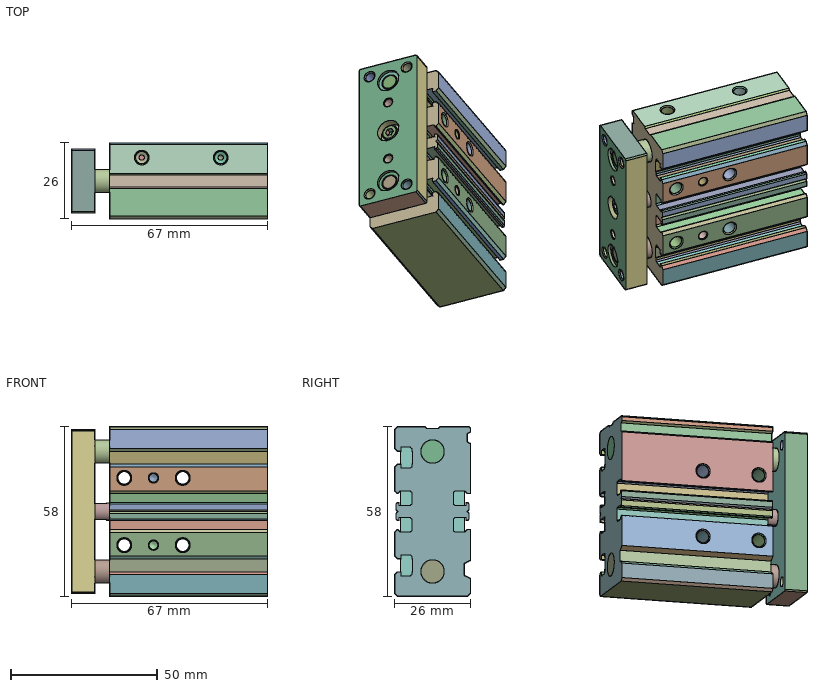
import cadquery as cq
import math

plate_thickness = 8.0
rod_gap = 5.0
housing_length = 54.0
housing_width = 26.0
housing_height = 58.0
housing_front = plate_thickness + rod_gap
housing_back = housing_front + housing_length
side = housing_width / 2
top = housing_height / 2

edge_chamfer = 1.0
small_chamfer = 0.5
rear_sign = 1
front_sign = -1

outer_slot_offset = 18.4
outer_slot_mouth = 4.4
outer_slot_width = 7.2
outer_slot_lip = 10.7
outer_slot_shoulder = 7.1
outer_slot_floor = 6.8

inner_slot_near = 3.0
inner_slot_far = 6.1
inner_slot_near_wall = 2.1
inner_slot_far_wall = 7.0
inner_slot_lip = 11.0
inner_lip_break = 0.9
rib_step = 11.4
inner_slot_floor = 7.1
floor_chamfer = 0.5

rib_face = 12.5
rib_chamfer = 0.4
rib_notch_half = 0.6
rib_notch_depth = 0.6

top_groove_mouth = 5.0
top_groove_floor = 4.0
top_groove_depth = 0.6

rear_groove_center = 25.2
rear_groove_mouth = 4.0
rear_groove_floor = 2.8
rear_groove_depth = 1.1

rear_channel_center = -19.8
rear_channel_mouth = 6.2
rear_channel_floor = 3.8
rear_channel_depth = 2.3

mount_offset = 11.5
mount_x = (housing_front + 5.0, housing_front + 25.0)
mount_dia = 4.3
mount_chamfer = 0.4
pin_x = housing_front + 15.0
pin_hole_dia = 3.0
pin_hole_depth = 6.0
pin_hole_chamfer = 0.25
drill_half_angle = math.radians(59)

port_x = (housing_front + 11.0, housing_front + 38.0)
port_y = 8.0
port_dia = 4.2
port_chamfer = 0.4
port_depth = 5.0
port_passage_dia = 1.8
port_passage_depth = 8.0

plate_width = 22.0
plate_height = 56.0
plate_chamfer = 0.5
screw_y = 7.0
screw_z = 24.0
screw_dia = 3.3
screw_chamfer = 0.4

guide_dia = 8.0
guide_offset = 20.5
piston_dia = 6.0
piston_end = port_x[1]
neck_dia = 5.6
neck_chamfer = 0.3
neck_setback = 1.0
recess_dia = 8.0
guide_recess_depth = 1.0
piston_recess_depth = 3.0
wrench_flats = 5.5
wrench_flats_end = housing_front - 1.0
hex_flats = 2.5
hex_depth = 2.0


def x_cylinder(dia, start, end, z=0.0):
    return cq.Workplane("YZ", origin=(start, 0, z)).circle(dia / 2).extrude(end - start)


def hole_tool(dia, depth, chamfer, point=False):
    """Round cutter along -Z from the origin, flared at the mouth, with an optional drill point."""
    radius = dia / 2
    point_length = radius / math.tan(drill_half_angle) if point else 0.0
    outline = cq.Workplane("XZ").lineTo(radius + chamfer, 0)
    if chamfer:
        outline = outline.lineTo(radius, -chamfer)
    outline = outline.lineTo(radius, -depth).lineTo(0, -depth - point_length)
    return outline.close().revolve(360, (0, 0, 0), (0, 1, 0))


def into_front(tool, x, z):
    """Turn a hole cutter to enter the front (-Y) face."""
    return tool.rotate((0, 0, 0), (1, 0, 0), 90).translate((x, -side, z))


def into_rear(tool, x, z):
    """Turn a hole cutter to enter the rear (+Y) face."""
    return tool.rotate((0, 0, 0), (1, 0, 0), -90).translate((x, side, z))


def into_plate(tool, y, z):
    """Turn a hole cutter to enter the outer (-X) face of the plate."""
    return tool.rotate((0, 0, 0), (0, 1, 0), -90).translate((0, y, z))


def profile_cutter(points):
    """Closed Y-Z outline running the whole length of the housing."""
    return cq.Workplane("YZ", origin=(housing_front, 0, 0)).polyline(points).close().extrude(housing_length)


def outer_slot(center):
    """T-slot in the front face, with a bevelled mouth and a shallow step in its floor."""
    mouth = outer_slot_mouth / 2
    wall = outer_slot_width / 2
    upper = [
        (-side, mouth + edge_chamfer),
        (-side + edge_chamfer, mouth),
        (-outer_slot_lip, mouth),
        (-outer_slot_lip, wall),
        (-outer_slot_shoulder - floor_chamfer, wall),
        (-outer_slot_shoulder, wall - floor_chamfer),
        (-outer_slot_shoulder, mouth),
        (-outer_slot_floor, mouth),
    ]
    lower = [(y, -z) for y, z in reversed(upper)]
    return profile_cutter([(y, z + center) for y, z in upper + lower])


def inner_slot(face, half, mouth_chamfer):
    """T-slot beside the centre rib; face and half are the signs of Y and Z."""
    points = [
        (side, inner_slot_near),
        (rib_step, inner_slot_near),
        (rib_step, inner_slot_near_wall),
        (inner_slot_floor + floor_chamfer, inner_slot_near_wall),
        (inner_slot_floor, inner_slot_near_wall + floor_chamfer),
        (inner_slot_floor, inner_slot_far_wall - floor_chamfer),
        (inner_slot_floor + floor_chamfer, inner_slot_far_wall),
        (inner_slot_lip, inner_slot_far_wall),
        (inner_slot_lip + inner_lip_break, inner_slot_far),
        (side - mouth_chamfer, inner_slot_far),
    ]
    if mouth_chamfer:
        points.append((side, inner_slot_far + mouth_chamfer))
    return profile_cutter([(face * y, half * z) for y, z in points])


def rib_relief(face):
    """Sets the centre rib back from the side face, breaks its edges and cuts its V-notch."""
    upper = [
        (side, inner_slot_near),
        (rib_face - rib_chamfer, inner_slot_near),
        (rib_face, inner_slot_near - rib_chamfer),
        (rib_face, rib_notch_half),
    ]
    lower = [(y, -z) for y, z in reversed(upper)]
    points = upper + [(rib_face - rib_notch_depth, 0)] + lower
    return profile_cutter([(face * y, z) for y, z in points])


def rear_trapezoid(center, mouth, floor, depth):
    """Groove with sloping walls in the rear face."""
    return profile_cutter([
        (side, center + mouth / 2),
        (side - depth, center + floor / 2),
        (side - depth, center - floor / 2),
        (side, center - mouth / 2),
    ])


def top_groove():
    return profile_cutter([
        (-top_groove_mouth / 2, top),
        (-top_groove_floor / 2, top - top_groove_depth),
        (top_groove_floor / 2, top - top_groove_depth),
        (top_groove_mouth / 2, top),
    ])


def make_housing_block():
    return cq.Workplane("YZ", origin=(housing_front, 0, 0)).polyline([
        (-side, top - edge_chamfer),
        (-side + edge_chamfer, top),
        (side - small_chamfer, top),
        (side, top - small_chamfer),
        (side, -top + edge_chamfer),
        (side - edge_chamfer, -top),
        (-side + edge_chamfer, -top),
        (-side, -top + edge_chamfer),
    ]).close().extrude(housing_length)


def make_housing():
    body = make_housing_block()

    for half in (1, -1):
        body = body.cut(outer_slot(half * outer_slot_offset))
        body = body.cut(inner_slot(front_sign, half, edge_chamfer))
        body = body.cut(inner_slot(rear_sign, half, 0.0))
    for face in (front_sign, rear_sign):
        body = body.cut(rib_relief(face))
    body = body.cut(top_groove())
    body = body.cut(
        rear_trapezoid(rear_groove_center, rear_groove_mouth, rear_groove_floor, rear_groove_depth)
    )
    body = body.cut(
        rear_trapezoid(rear_channel_center, rear_channel_mouth, rear_channel_floor, rear_channel_depth)
    )

    mount_tool = hole_tool(mount_dia, side, mount_chamfer)
    pin_tool = hole_tool(pin_hole_dia, pin_hole_depth, pin_hole_chamfer, point=True)
    for z in (mount_offset, -mount_offset):
        for x in mount_x:
            body = body.cut(into_front(mount_tool, x, z)).cut(into_rear(mount_tool, x, z))
        body = body.cut(into_front(pin_tool, pin_x, z))

    port_tool = hole_tool(port_dia, port_depth, port_chamfer, point=True)
    for x, passage_point in zip(port_x, (False, True)):
        passage = hole_tool(port_passage_dia, port_passage_depth, 0.0, point=passage_point)
        body = body.cut(port_tool.union(passage).translate((x, port_y, top)))

    for z in (guide_offset, -guide_offset):
        body = body.cut(x_cylinder(guide_dia, housing_front, housing_back, z))
    return body.cut(x_cylinder(piston_dia, housing_front, piston_end))


def make_plate():
    body = (
        cq.Workplane("XY")
        .box(plate_thickness, plate_width, plate_height)
        .edges("|X")
        .chamfer(plate_chamfer)
        .translate((plate_thickness / 2, 0, 0))
    )
    rod_seats = (
        (guide_offset, guide_recess_depth),
        (0.0, piston_recess_depth),
        (-guide_offset, guide_recess_depth),
    )
    for z, depth in rod_seats:
        body = body.cut(x_cylinder(recess_dia, 0, depth, z))
        body = body.cut(x_cylinder(neck_dia, 0, plate_thickness, z))

    screw_tool = hole_tool(screw_dia, plate_thickness, screw_chamfer)
    for y in (screw_y, -screw_y):
        for z in (screw_z, -screw_z):
            body = body.cut(into_plate(screw_tool, y, z))

    pin_tool = hole_tool(pin_hole_dia, pin_hole_depth, pin_hole_chamfer, point=True)
    for z in (mount_offset, -mount_offset):
        body = body.cut(into_plate(pin_tool, 0, z))
    return body


def make_neck(z):
    return x_cylinder(neck_dia, neck_setback, plate_thickness, z).faces("<X").chamfer(neck_chamfer)


def make_guide_rod(z):
    return x_cylinder(guide_dia, plate_thickness, housing_back, z).union(make_neck(z))


def make_piston_rod():
    flats = cq.Workplane("XY").box(
        wrench_flats_end - plate_thickness, piston_dia, wrench_flats
    ).translate(((wrench_flats_end + plate_thickness) / 2, 0, 0))
    flatted = x_cylinder(piston_dia, plate_thickness, wrench_flats_end).intersect(flats)
    rod = x_cylinder(piston_dia, wrench_flats_end, piston_end).union(flatted).union(make_neck(0.0))
    hex_corner_dia = hex_flats / math.cos(math.radians(30))
    socket = cq.Workplane("YZ", origin=(neck_setback, 0, 0)).polygon(6, hex_corner_dia).extrude(hex_depth)
    return rod.cut(socket)


housing = make_housing()
plate = make_plate()
piston_rod = make_piston_rod()
guide_rods = [make_guide_rod(z) for z in (guide_offset, -guide_offset)]

result = cq.Compound.makeCompound(
    [housing.val(), plate.val(), piston_rod.val()] + [rod.val() for rod in guide_rods]
)